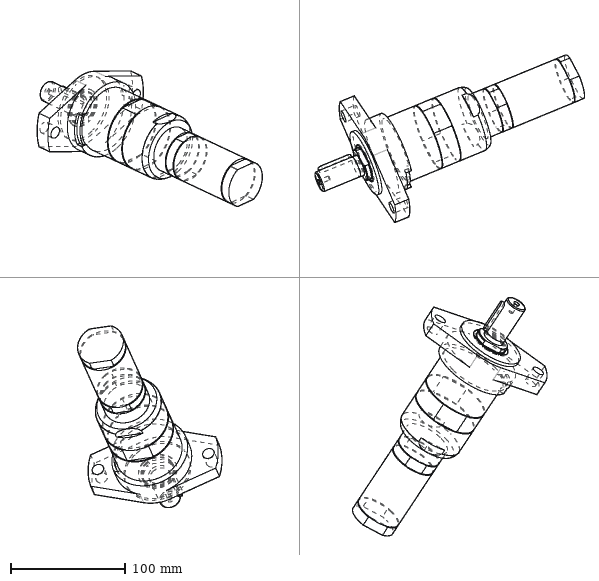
import cadquery as cq
import math


shaft_dia = 18.8
shaft_chamfer = 1.0
neck_dia = 19.0
neck_start = 36.0
center_hole_mouth_dia = 5.5
center_hole_dia = 3.7
center_hole_cone = 1.7
center_hole_depth = 10.0

key_start = 4.7
key_end = 36.6
key_width = 6.5
key_top = 12.4

collar_start = 39.8
collar_dia = 30.0
collar_chamfer = 0.7
collar_flat_height = 12.4
recess_dia = 35.0
recess_depth = 1.0
recess_collar_step = 0.5

pilot_start = 44.0
flange_start = 47.0
flange_thickness = 13.5
flange_span = 118.0
flange_side_angle = 20.0
bolt_hole_dia = 10.5
bolt_hole_offset = 50.0

hub_dia = 70.0
hub_end = 75.0
hub_notch_start = 69.5
hub_notch_step = 73.5
hub_notch_half_height = 15.3
hub_notch_floor_radius = 32.2
body_dia = 60.0
body_flat_height = 27.5
wrench_start = 106.0
wrench_end = 123.8
cap_start = 144.0
dome_start = 148.5
dome_end = 154.0
dome_start_radius = 29.7
dome_middle_radius = 29.0
dome_end_radius = 27.2

tail_dia = 41.5
tail_wrench_start = 168.3
tail_wrench_end = 178.5
tail_wrench_flat_height = 19.0
tail_cap_start = 237.8
tail_cap_flat_height = 18.3
total_length = 247.5

groove_width = 0.5
groove_depth = 0.5


def cylinder(start, end, diameter):
    return cq.Workplane("YZ", origin=(start, 0, 0)).circle(diameter / 2).extrude(end - start)


def cut_flats(body, start, end, height):
    """Mill the top and bottom of a turned section to flats at +height and -height."""
    length = end - start
    for side in (1, -1):
        cutter = cq.Workplane("XY").box(length, hub_dia, hub_dia)
        body = body.cut(cutter.translate(((start + end) / 2, 0, side * (height + hub_dia / 2))))
    return body


def make_housing():
    """Pilot, gear housing with its domed cap, and motor tail, with flats and grooves."""
    body_radius = body_dia / 2
    tail_radius = tail_dia / 2
    dome_middle = (dome_start + dome_end) / 2
    housing = (
        cq.Workplane("XY")
        .moveTo(pilot_start, 0)
        .lineTo(pilot_start, body_radius)
        .lineTo(dome_start, body_radius)
        .lineTo(dome_start, dome_start_radius)
        .threePointArc((dome_middle, dome_middle_radius), (dome_end, dome_end_radius))
        .lineTo(dome_end, tail_radius)
        .lineTo(total_length, tail_radius)
        .lineTo(total_length, 0)
        .close()
        .revolve(360, (0, 0, 0), (1, 0, 0))
    )
    housing = cut_flats(housing, wrench_start, wrench_end, body_flat_height)
    housing = cut_flats(housing, cap_start, dome_end, body_flat_height)
    housing = cut_flats(housing, tail_wrench_start, tail_wrench_end, tail_wrench_flat_height)
    housing = cut_flats(housing, tail_cap_start, total_length, tail_cap_flat_height)

    grooves = (
        (wrench_start - groove_width, body_dia),
        (wrench_end - groove_width, body_dia),
        (tail_wrench_start, tail_dia),
        (tail_wrench_end - groove_width, tail_dia),
        (tail_cap_start, tail_dia),
    )
    for start, diameter in grooves:
        end = start + groove_width
        ring = cylinder(start, end, hub_dia).cut(cylinder(start, end, diameter - 2 * groove_depth))
        housing = housing.cut(ring)
    return housing


def make_flange():
    """Two-bolt plate: straight sides tangent to the hub, ends rounded about the axis.

    The plate is flat between the tangent points, where the round hub covers it.
    """
    hub_radius = hub_dia / 2
    end_radius = flange_span / 2
    angle = math.radians(flange_side_angle)
    tangent_y = hub_radius * math.sin(angle)
    tangent_z = hub_radius * math.cos(angle)
    side_length = math.sqrt(end_radius**2 - hub_radius**2)
    corner_y = tangent_y + side_length * math.cos(angle)
    corner_z = tangent_z - side_length * math.sin(angle)
    return (
        cq.Workplane("YZ", origin=(flange_start, 0, 0))
        .moveTo(-tangent_y, tangent_z)
        .lineTo(tangent_y, tangent_z)
        .lineTo(corner_y, corner_z)
        .threePointArc((end_radius, 0), (corner_y, -corner_z))
        .lineTo(tangent_y, -tangent_z)
        .lineTo(-tangent_y, -tangent_z)
        .lineTo(-corner_y, -corner_z)
        .threePointArc((-end_radius, 0), (-corner_y, corner_z))
        .close()
        .pushPoints([(-bolt_hole_offset, 0), (bolt_hole_offset, 0)])
        .circle(bolt_hole_dia / 2)
        .extrude(flange_thickness)
    )


def make_hub():
    """Large ring through and behind the flange, with a stepped notch in its rear edge on the -Y side."""
    hub = cylinder(flange_start, hub_end, hub_dia)
    steps = (
        (hub_notch_start, hub_notch_step, 2 * hub_notch_floor_radius),
        (hub_notch_step, hub_end, body_dia),
    )
    for start, end, floor_dia in steps:
        window = (
            cq.Workplane("XY")
            .box(end - start, hub_dia, 2 * hub_notch_half_height)
            .translate(((start + end) / 2, -hub_dia / 2, 0))
        )
        hub = hub.cut(window.cut(cylinder(start, end, floor_dia)))
    return hub


def make_collar():
    """Seal collar with flats, chamfered at both ends, on a full round step below the pilot face."""
    flat_end = pilot_start + recess_collar_step
    collar = cylinder(collar_start, flat_end, collar_dia).faces("<X or >X").chamfer(collar_chamfer)
    collar = cut_flats(collar, collar_start, flat_end, collar_flat_height)
    return collar.union(cylinder(flat_end, flange_start, collar_dia))


def make_shaft():
    shaft = cylinder(0, neck_start, shaft_dia).faces("<X").chamfer(shaft_chamfer)
    return shaft.union(cylinder(neck_start, flange_start, neck_dia))


def make_key():
    """Round-ended parallel key standing out of the shaft toward +Y."""
    key_length = key_end - key_start
    return (
        cq.Workplane("XZ")
        .center(key_start + key_length / 2, 0)
        .slot2D(key_length, key_width)
        .extrude(-key_top)
    )


def make_center_hole():
    """Centre-drilled hole in the shaft tip with a conical mouth."""
    hole_radius = center_hole_dia / 2
    return (
        cq.Workplane("XY")
        .lineTo(0, center_hole_mouth_dia / 2)
        .lineTo(center_hole_cone, hole_radius)
        .lineTo(center_hole_depth, hole_radius)
        .lineTo(center_hole_depth, 0)
        .close()
        .revolve(360, (0, 0, 0), (1, 0, 0))
    )


recess = cylinder(pilot_start, pilot_start + recess_depth, recess_dia)
result = make_housing().cut(recess)
for feature in (make_hub(), make_flange(), make_collar(), make_shaft(), make_key()):
    result = result.union(feature)
result = result.cut(make_center_hole())